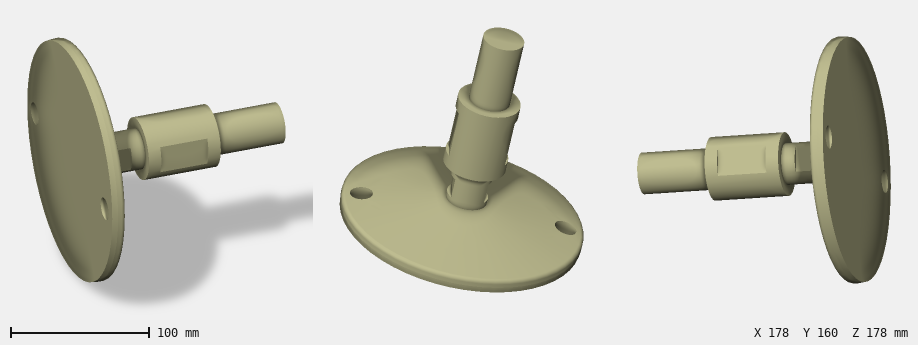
import cadquery as cq
import math


foot_radius = 89.0
sole_radius = 88.5
taper_height = 4.3
rim_top = 7.3
rim_round = 3.0
cone_angle = math.radians(9.6)

hole_diameter = 16.5
hole_offset = 72.8

stem_radius = 30.0 / 2
stem_top = 160.0
collar_radius = 46.0 / 2
collar_bottom = 52.3
collar_top = 107.3

cone_base_radius = foot_radius - rim_round + rim_round * math.sin(cone_angle)
cone_base_height = rim_top + rim_round * math.cos(cone_angle)
foot_height = cone_base_height + (cone_base_radius - stem_radius) * math.tan(cone_angle)

collar_flat_width = 41.0
collar_flat_bottom = 61.8
collar_flat_top = 97.9
neck_flat_width = 24.0
neck_flat_bottom = 26.9
neck_flat_top = 42.2


def bolt_hole(side):
    """Slanted cutter on one side (+1 or -1), leaning outwards as it rises."""
    direction = cq.Vector(side * math.sin(cone_angle), math.cos(cone_angle), 0)
    sole_centre = cq.Vector(side * hole_offset, 0, 0)
    start = sole_centre - direction * foot_height
    return cq.Solid.makeCylinder(hole_diameter / 2, 2 * foot_height, start, direction)


def make_foot():
    """Conical plate with a rounded rim and two bolt holes."""
    mid_angle = (math.pi / 2 - cone_angle) / 2
    rounding_middle = (
        foot_radius - rim_round + rim_round * math.cos(mid_angle),
        rim_top + rim_round * math.sin(mid_angle),
    )
    foot = (
        cq.Workplane("XY")
        .moveTo(0, 0)
        .lineTo(sole_radius, 0)
        .lineTo(foot_radius, taper_height)
        .lineTo(foot_radius, rim_top)
        .threePointArc(rounding_middle, (cone_base_radius, cone_base_height))
        .lineTo(stem_radius, foot_height)
        .lineTo(0, foot_height)
        .close()
        .revolve(360, (0, 0), (0, 1))
    )
    for side in (-1, 1):
        foot = foot.cut(cq.Workplane(bolt_hole(side)))
    return foot


def cut_flats(body, width, bottom, top):
    """Cut two flats facing -X and +X, a given width apart."""
    depth = collar_radius
    for side in (-1, 1):
        cutter = cq.Workplane("XY").box(depth, top - bottom, 2 * collar_radius)
        cutter = cutter.translate((side * (width + depth) / 2, (bottom + top) / 2, 0))
        body = body.cut(cutter)
    return body


def make_stem():
    """Round stem standing on the foot, with a collar and two pairs of flats."""
    stem = (
        cq.Workplane("XY")
        .moveTo(0, foot_height)
        .lineTo(stem_radius, foot_height)
        .lineTo(stem_radius, collar_bottom)
        .lineTo(collar_radius, collar_bottom)
        .lineTo(collar_radius, collar_top)
        .lineTo(stem_radius, collar_top)
        .lineTo(stem_radius, stem_top)
        .lineTo(0, stem_top)
        .close()
        .revolve(360, (0, 0), (0, 1))
    )
    stem = cut_flats(stem, collar_flat_width, collar_flat_bottom, collar_flat_top)
    return cut_flats(stem, neck_flat_width, neck_flat_bottom, neck_flat_top)


foot = make_foot()
stem = make_stem()
result = cq.Compound.makeCompound([*foot.solids().vals(), *stem.solids().vals()])